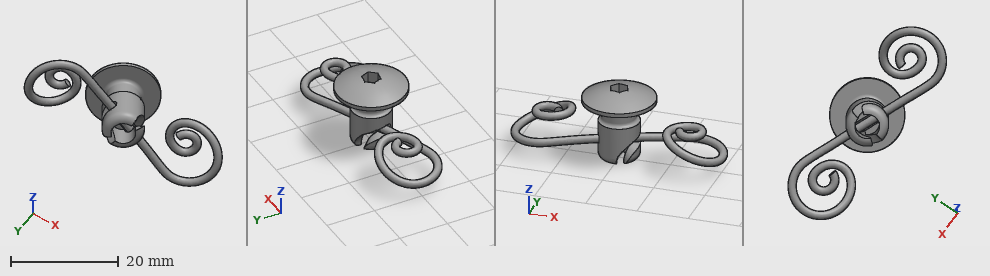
import cadquery as cq
import math

body_radius = 3.95
body_height = 7.8
bottom_round = 1.5
neck_radius = 3.25
neck_round = body_radius - neck_radius
head_radius = 7.0
rim_bottom = 11.75
rim_top = 12.52
dome_apex = 14.48

socket_diameter = 3.6
socket_depth = 2.5
socket_turn = -10.0

slot_radius = 1.1
core_radius = 2.3
slot_reach = 1.3 * body_radius
slot_entry_angle = -67.0
seat_angle = 22.5
seat_height = 4.3
slot_steps = 6

wire_radius = 0.8
wire_height = 4.08
loop_x = 14.48
loop_radius = 5.55
loop_tip_height = 3.0
join_x = 10.0
join_y = -1.6
coil_x = 13.98
coil_radius = 2.1
coil_height = 7.45
coil_end_angle = -164.0
arm_drop = 0.45
points_per_turn = 24


def make_stud_blank():
    dome_height = dome_apex - rim_top
    dome_radius = (head_radius**2 + dome_height**2) / (2 * dome_height)
    dome_mid_x = head_radius / 2
    dome_mid_z = dome_apex - dome_radius + math.sqrt(dome_radius**2 - dome_mid_x**2)
    profile = (
        cq.Workplane("XZ")
        .lineTo(body_radius - bottom_round, 0)
        .radiusArc((body_radius, bottom_round), -bottom_round)
        .lineTo(body_radius, body_height)
        .radiusArc((neck_radius, body_height + neck_round), neck_round)
        .lineTo(neck_radius, rim_bottom - neck_round)
        .radiusArc((neck_radius + neck_round, rim_bottom), neck_round)
        .lineTo(head_radius, rim_bottom)
        .lineTo(head_radius, rim_top)
        .threePointArc((dome_mid_x, dome_mid_z), (0, dome_apex))
        .close()
    )
    return profile.revolve(360, (0, 0, 0), (0, 1, 0))


def make_socket():
    return (
        cq.Workplane("XY", origin=(0, 0, dome_apex - socket_depth))
        .polygon(6, socket_diameter)
        .extrude(socket_depth)
        .rotate((0, 0, 0), (0, 0, 1), socket_turn)
    )


def slot_section(angle, height, slope):
    """Wedge from the Z axis outwards, square to a path that rises at the given slope angle.

    It is one slot width wide where it meets the outside of the body.
    """
    outward = cq.Vector(math.cos(angle), math.sin(angle), 0)
    around = cq.Vector(-math.sin(angle), math.cos(angle), 0)
    across = cq.Vector(0, 0, math.cos(slope)) - around * math.sin(slope)
    half_width = across * (slot_radius * slot_reach / body_radius)
    axis_point = cq.Vector(0, 0, height)
    outer_point = axis_point + outward * slot_reach
    corners = [axis_point, outer_point - half_width, outer_point + half_width]
    return cq.Wire.makePolygon(corners, close=True)


def make_slot_climb():
    """On the unrolled body the climb is a quarter ellipse: upright at entry, level at the seat."""
    seat = math.radians(seat_angle)
    sweep = seat - math.radians(slot_entry_angle)
    run = body_radius * sweep
    sections = [slot_section(seat - sweep, -slot_radius, math.pi / 2)]
    for step in range(slot_steps + 1):
        t = math.pi / 2 * step / slot_steps
        slope = math.atan2(seat_height * math.cos(t), run * math.sin(t))
        sections.append(slot_section(seat - sweep * math.cos(t), seat_height * math.sin(t), slope))
    return cq.Workplane(cq.Solid.makeLoft(sections))


def make_wire_seat():
    seat = math.radians(seat_angle)
    axis = cq.Vector(math.cos(seat), math.sin(seat), 0)
    start = cq.Vector(0, 0, seat_height) - axis * slot_reach
    return cq.Workplane(cq.Solid.makeCylinder(slot_radius, 2 * slot_reach, start, axis))


def make_core_bore():
    return cq.Workplane("XY").circle(core_radius).extrude(seat_height)


def make_stud():
    stud = make_stud_blank().cut(make_socket())
    climb = make_slot_climb()
    for turn in (0, 180):
        stud = stud.cut(climb.rotate((0, 0, 0), (0, 0, 1), turn))
    return stud.cut(make_core_bore()).cut(make_wire_seat())


def arc_points(center_x, center_y, radius_x, radius_y, start_angle, end_angle, height_at):
    """Points along an elliptical arc as seen along Z, leaving out its start."""
    steps = math.ceil(abs(end_angle - start_angle) / 360 * points_per_turn)
    points = []
    for step in range(1, steps + 1):
        angle = math.radians(start_angle + (end_angle - start_angle) * step / steps)
        x = center_x + radius_x * math.cos(angle)
        y = center_y + radius_y * math.sin(angle)
        points.append(cq.Vector(x, y, height_at(x)))
    return points


def half_wire_points():
    """Centreline of one half, from just outside the Z axis to the inner end of its coil."""
    arm_angle = math.asin(loop_radius / loop_x)
    arm_length = loop_x * math.cos(arm_angle)
    arm_end_x = arm_length * math.cos(arm_angle)
    tip_x = loop_x + loop_radius

    def arm_height(x):
        return wire_height - arm_drop * (x / arm_end_x) ** 2

    def outer_height(x):
        start = arm_height(arm_end_x)
        return start + (loop_tip_height - start) * (x - arm_end_x) / (tip_x - arm_end_x)

    def rising_height(x):
        rise = (tip_x - x) / (tip_x - join_x)
        return loop_tip_height + (coil_height - loop_tip_height) * rise

    def level_height(x):
        return coil_height

    points = []
    for fraction in (1 / 3, 2 / 3, 1):
        x = arm_end_x * fraction
        points.append(cq.Vector(x, x * math.tan(arm_angle), arm_height(x)))
    points += arc_points(loop_x, 0, loop_radius, loop_radius, 90 + math.degrees(arm_angle), 0, outer_height)
    points += arc_points(loop_x, 0, loop_radius, loop_radius, 0, -90, rising_height)
    points += arc_points(loop_x, join_y, loop_x - join_x, join_y + loop_radius, -90, -180, rising_height)
    points += arc_points(coil_x, join_y, coil_x - join_x, coil_radius - join_y, 180, 90, level_height)
    points += arc_points(coil_x, 0, coil_radius, coil_radius, 90, coil_end_angle, level_height)
    return points


def make_spring_wire():
    points = [cq.Vector(0, 0, wire_height)] + half_wire_points()
    centerline = cq.Edge.makeSpline(points)
    plane = cq.Plane(origin=(0, 0, wire_height), normal=cq.Vector(points[1].x, points[1].y, 0))
    path = cq.Workplane(cq.Wire.assembleEdges([centerline]))
    half = cq.Workplane(plane).circle(wire_radius).sweep(path)
    return half.union(half.rotate((0, 0, 0), (0, 0, 1), 180))


stud = make_stud()
spring_wire = make_spring_wire()

result = cq.Compound.makeCompound([stud.val(), spring_wire.val()])